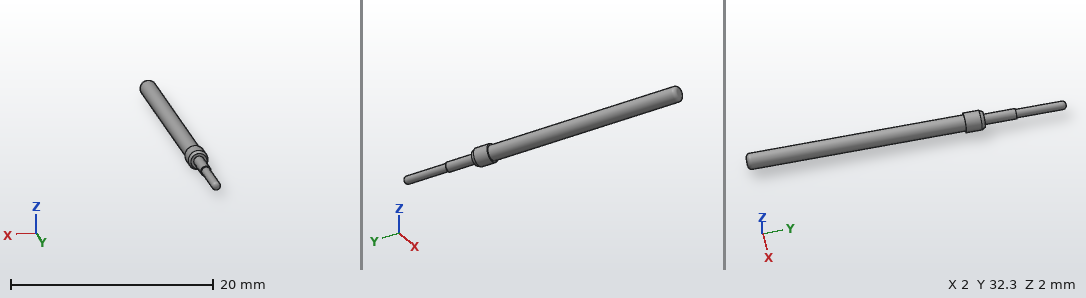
import cadquery as cq

total_length = 32.3
body_diameter = 1.65
collar_diameter = 2.0
neck_diameter = 1.05
tip_diameter = 0.87

tip_length = 5.1
neck_length = 3.23
collar_length = 1.97
body_length = total_length - tip_length - neck_length - collar_length

body_end_radius = 0.4
collar_chamfer_length = 0.4
collar_chamfer_depth = 0.2
tip_end_radius = 0.4


def cylinder_along_y(diameter, start_y, length):
    """Round section that runs from start_y toward +Y."""
    start_plane = cq.Plane(origin=(0, start_y, 0), xDir=(1, 0, 0), normal=(0, 1, 0))
    return cq.Workplane(start_plane).circle(diameter / 2).extrude(length)


body_start = -total_length / 2
collar_start = body_start + body_length
neck_start = collar_start + collar_length
tip_start = neck_start + neck_length

body = cylinder_along_y(body_diameter, body_start, body_length)
body = body.faces("<Y").edges().fillet(body_end_radius)

collar = cylinder_along_y(collar_diameter, collar_start, collar_length)
collar = collar.faces(">Y").edges().chamfer(collar_chamfer_length, collar_chamfer_depth)

neck = cylinder_along_y(neck_diameter, neck_start, neck_length)

tip = cylinder_along_y(tip_diameter, tip_start, tip_length)
tip = tip.faces(">Y").edges().fillet(tip_end_radius)

result = body.union(collar).union(neck).union(tip)